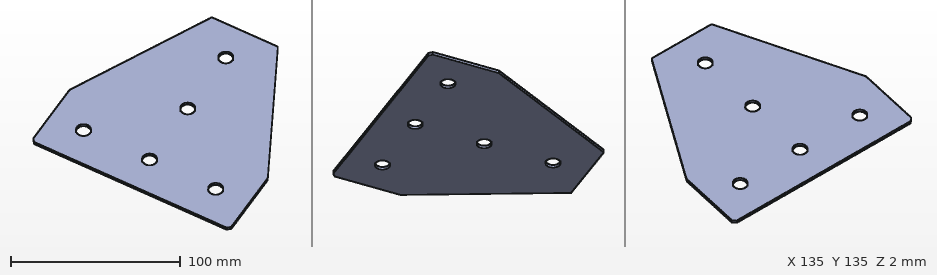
import cadquery as cq

pitch = 45.0
thickness = 2.0
hole_diameter = 9.0
corner_chamfer = 2.0

size = 3 * pitch
half_size = size / 2
half_arm = pitch / 2


def plate():
    """T-shaped joining plate with sloped sides between the crossbar and the stem."""
    outline = [
        (-half_size, -half_size),
        (half_size, -half_size),
        (half_size, -half_arm),
        (half_arm, half_size),
        (-half_arm, half_size),
        (-half_size, -half_arm),
    ]
    body = cq.Workplane("XY").polyline(outline).close().extrude(thickness)
    return body.edges("|Z").edges("<Y").chamfer(corner_chamfer)


def screw_holes():
    """Through holes at the centre of each grid cell of the crossbar and the stem."""
    crossbar = [(column * pitch, -pitch) for column in (-1, 0, 1)]
    stem = [(0, row * pitch) for row in (0, 1)]
    return (
        cq.Workplane("XY")
        .pushPoints(crossbar + stem)
        .circle(hole_diameter / 2)
        .extrude(thickness)
    )


result = plate().cut(screw_holes())